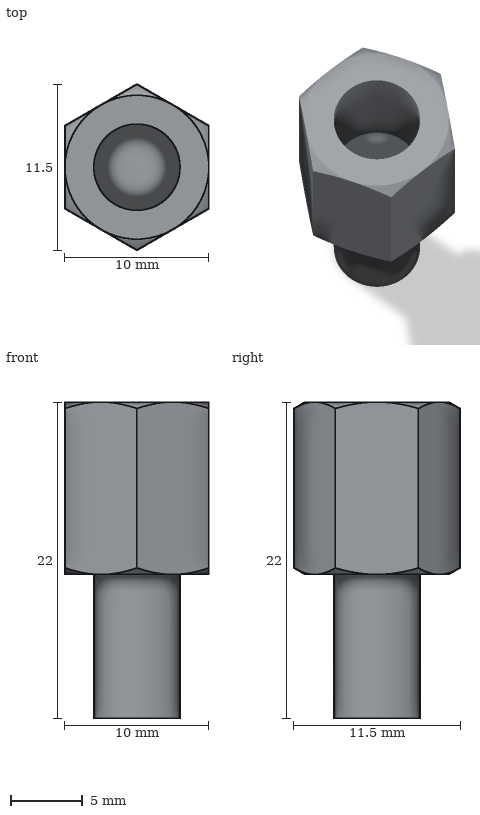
import cadquery as cq
import math

total_length = 22.0
hex_height = 12.0
across_flats = 10.0
thread_diameter = 6.0
bore_depth = 9.0
chamfer_angle = 30.0

stud_length = total_length - hex_height
flat_radius = across_flats / 2
corner_radius = flat_radius / math.cos(math.radians(30))
chamfer_drop = (corner_radius - flat_radius) * math.tan(math.radians(chamfer_angle))


def make_chamfer_envelope():
    """Round blank whose conical ends start at the flats and reach the hexagon corners."""
    return (
        cq.Workplane("XZ")
        .moveTo(0, stud_length)
        .lineTo(flat_radius, stud_length)
        .lineTo(corner_radius, stud_length + chamfer_drop)
        .lineTo(corner_radius, total_length - chamfer_drop)
        .lineTo(flat_radius, total_length)
        .lineTo(0, total_length)
        .close()
        .revolve(360, (0, 0, 0), (0, 1, 0))
    )


def make_hex_body():
    """Hexagon with corners on the Y axis, chamfered at both ends, with a blind bore from the top."""
    hexagon = (
        cq.Workplane("XY", origin=(0, 0, stud_length))
        .transformed(rotate=(0, 0, 90))
        .polygon(6, 2 * corner_radius)
        .extrude(hex_height)
    )
    bore = (
        cq.Workplane("XY", origin=(0, 0, total_length - bore_depth))
        .circle(thread_diameter / 2)
        .extrude(bore_depth)
    )
    return hexagon.intersect(make_chamfer_envelope()).cut(bore)


def make_stud():
    """Plain cylinder that meets the underside of the hexagon."""
    return cq.Workplane("XY").circle(thread_diameter / 2).extrude(stud_length)


hex_body = make_hex_body()
stud = make_stud()

result = cq.Compound.makeCompound([hex_body.solids().val(), stud.val()])